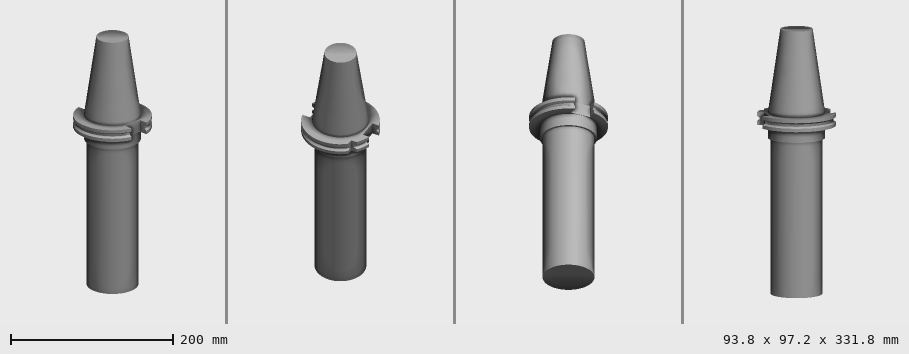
import cadquery as cq

total_height = 331.8
taper_length = 102.0
gauge_z = total_height - taper_length
flange_gap = 3.3
flange_thickness = 15.5
flange_top_z = gauge_z - flange_gap
flange_bottom_z = flange_top_z - flange_thickness
collar_bottom_z = gauge_z - 34.8

taper_ratio = 7 / 24
gauge_diameter = 69.7
taper_tip_diameter = gauge_diameter - taper_ratio * taper_length
flange_diameter = 97.2
collar_diameter = 70.0
shank_diameter = 64.0

groove_floor_diameter = 91.0
groove_mouth_width = 7.0
groove_floor_width = 3.0

slot_width = 25.5
slot_floor_left = 37.8
slot_floor_right = 35.5

notch_x = -31.0
notch_y = 29.5


def cylinder(diameter, bottom_z, top_z):
    return cq.Workplane("XY").workplane(offset=bottom_z).circle(diameter / 2).extrude(top_z - bottom_z)


def cone(bottom_diameter, top_diameter, bottom_z, top_z):
    profile = [
        (0, bottom_z),
        (bottom_diameter / 2, bottom_z),
        (top_diameter / 2, top_z),
        (0, top_z),
    ]
    return cq.Workplane("XZ").polyline(profile).close().revolve(360, (0, 0), (0, 1))


def make_grooved_disc():
    radius = flange_diameter / 2
    floor_radius = groove_floor_diameter / 2
    middle_z = (flange_top_z + flange_bottom_z) / 2
    profile = [
        (0, flange_bottom_z),
        (radius, flange_bottom_z),
        (radius, middle_z - groove_mouth_width / 2),
        (floor_radius, middle_z - groove_floor_width / 2),
        (floor_radius, middle_z + groove_floor_width / 2),
        (radius, middle_z + groove_mouth_width / 2),
        (radius, flange_top_z),
        (0, flange_top_z),
    ]
    return cq.Workplane("XZ").polyline(profile).close().revolve(360, (0, 0), (0, 1))


def flange_cutter(corner_a, corner_b):
    """Box through the full flange thickness between two opposite XY corners."""
    size_x = abs(corner_b[0] - corner_a[0])
    size_y = abs(corner_b[1] - corner_a[1])
    return (
        cq.Workplane("XY")
        .workplane(offset=flange_bottom_z)
        .center((corner_a[0] + corner_b[0]) / 2, (corner_a[1] + corner_b[1]) / 2)
        .rect(size_x, size_y)
        .extrude(flange_thickness)
    )


def make_flange():
    rim = flange_diameter
    half_slot = slot_width / 2
    left_slot = flange_cutter((-rim, -half_slot), (-slot_floor_left, half_slot))
    right_slot = flange_cutter((slot_floor_right, -half_slot), (rim, half_slot))
    notch = flange_cutter((-rim, notch_y), (notch_x, rim))
    return make_grooved_disc().cut(left_slot).cut(right_slot).cut(notch)


shank = cylinder(shank_diameter, 0, collar_bottom_z)
collar = cylinder(collar_diameter, collar_bottom_z, flange_bottom_z)
neck = cylinder(gauge_diameter, flange_top_z, gauge_z)
taper = cone(gauge_diameter, taper_tip_diameter, gauge_z, total_height)

result = shank.union(collar).union(make_flange()).union(neck).union(taper)